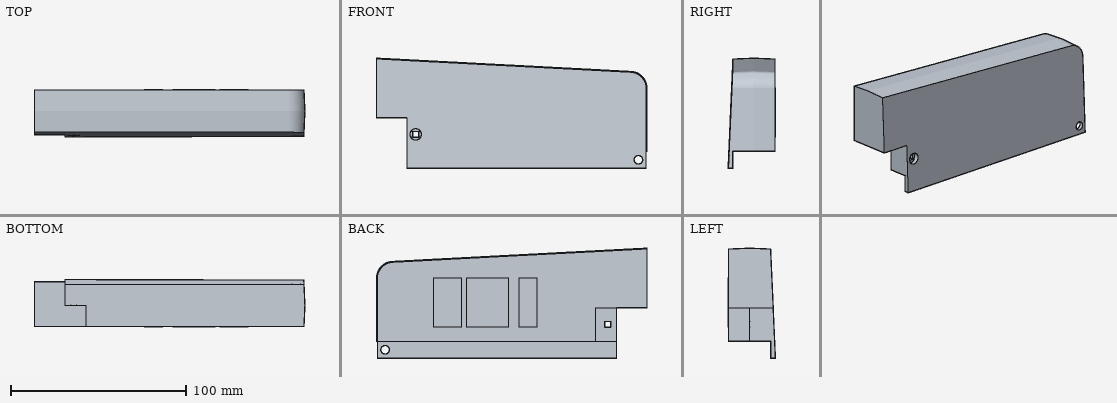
import cadquery as cq
import math

LENGTH = 154.4
HEIGHT = 63.0

BACK_Y = 12.0
FRONT_TOP_Y = -12.0
FRONT_BOTTOM_Y = -14.8
SEAM_DRAFT = 2.5
TOP_SLOPE = 3.0
CORNER_RADIUS = 9.5

NOTCH_LENGTH = 17.3
REAR_NOTCH_LENGTH = 29.3
NOTCH_TOP_Z = 28.9
LIP_HEIGHT = 9.7

SCREW_X = 22.4
SCREW_Z = 19.5
COUNTERBORE_DIAMETER = 6.5
COUNTERBORE_DEPTH = 2.6
SLOT_DEPTH = 0.5
SQUARE_SIDE = 3.2

LIP_HOLE_X = 149.5
LIP_HOLE_Z = 5.0
LIP_HOLE_DIAMETER = 4.8

PAD_HEIGHT = 0.3
PAD_BOTTOM_Z = 17.9
PAD_TOP_Z = 46.0
PAD_SPANS = [(62.8, 73.2), (79.0, 103.0), (105.9, 122.0)]

MARGIN = 15.5


def box_between(x_range, y_range, z_range):
    """Box spanning the given start and end along each axis."""
    sizes = [end - start for start, end in (x_range, y_range, z_range)]
    corner = (x_range[0], y_range[0], z_range[0])
    return cq.Workplane("XY").box(*sizes, centered=False).translate(corner)


def drafted_block():
    """Side outline with sloping top and round corner, narrowing both ways from the seam."""
    slope = math.radians(TOP_SLOPE)
    peak_z = HEIGHT - LENGTH * math.tan(slope)
    tangent_length = CORNER_RADIUS * math.tan((math.pi / 2 - slope) / 2)
    front_half = (
        cq.Workplane("XZ")
        .moveTo(-MARGIN, -MARGIN)
        .lineTo(-MARGIN, HEIGHT + MARGIN * math.tan(slope))
        .lineTo(
            LENGTH - tangent_length * math.cos(slope),
            peak_z + tangent_length * math.sin(slope),
        )
        .radiusArc((LENGTH, peak_z - tangent_length), CORNER_RADIUS)
        .lineTo(LENGTH, -MARGIN)
        .close()
        .extrude(MARGIN - FRONT_BOTTOM_Y, taper=SEAM_DRAFT)
    )
    return front_half.union(front_half.mirror("XZ"))


def wall_limits():
    """Bar along the sloping top, bounded by the upright back and the leaning front face."""
    slope = math.radians(TOP_SLOPE)
    corner_depth = HEIGHT * math.cos(slope) - NOTCH_LENGTH * math.sin(slope)
    lean = (FRONT_TOP_Y - FRONT_BOTTOM_Y) / corner_depth
    bar_depth = HEIGHT + MARGIN
    return (
        cq.Workplane("YZ", origin=(-MARGIN, 0, 0))
        .moveTo(BACK_Y, MARGIN)
        .lineTo(FRONT_TOP_Y + lean * MARGIN, MARGIN)
        .lineTo(FRONT_TOP_Y - lean * bar_depth, -bar_depth)
        .lineTo(BACK_Y, -bar_depth)
        .close()
        .extrude(LENGTH + 2 * MARGIN)
        .rotate((0, 0, 0), (0, 1, 0), TOP_SLOPE)
        .translate((0, 0, HEIGHT))
    )


def cover_body():
    """Drafted block trimmed to its walls, with the notches and the space behind the lip removed."""
    across = (FRONT_BOTTOM_Y - MARGIN, BACK_Y + MARGIN)
    envelope = box_between((0, LENGTH), across, (0, HEIGHT))
    body = drafted_block().intersect(wall_limits()).intersect(envelope)
    behind_seam = (0, BACK_Y + MARGIN)
    notch_heights = (-MARGIN, NOTCH_TOP_Z)
    notch = box_between((-MARGIN, NOTCH_LENGTH), across, notch_heights)
    rear_notch = box_between((-MARGIN, REAR_NOTCH_LENGTH), behind_seam, notch_heights)
    behind_lip = box_between(
        (-MARGIN, LENGTH + MARGIN), (FRONT_TOP_Y, BACK_Y + MARGIN), (-MARGIN, LIP_HEIGHT)
    )
    return body.cut(notch).cut(rear_notch).cut(behind_lip)


def front_plane(x, z, y):
    """Work plane facing -Y, centred on (x, y, z)."""
    return cq.Workplane("XZ", origin=(x, y, z))


def screw_hole():
    """Cutting solid for the recessed screw hole in the front wall."""
    face_y = FRONT_BOTTOM_Y + (FRONT_TOP_Y - FRONT_BOTTOM_Y) * SCREW_Z / HEIGHT
    floor_y = face_y + COUNTERBORE_DEPTH
    radius = COUNTERBORE_DIAMETER / 2
    counterbore = front_plane(SCREW_X, SCREW_Z, floor_y).circle(radius).extrude(MARGIN)
    slot_floor = front_plane(SCREW_X, SCREW_Z, floor_y + SLOT_DEPTH)
    slot = (
        slot_floor.circle(radius).extrude(SLOT_DEPTH)
        .intersect(slot_floor.rect(COUNTERBORE_DIAMETER, SQUARE_SIDE).extrude(SLOT_DEPTH))
    )
    square = (
        front_plane(SCREW_X, SCREW_Z, BACK_Y + MARGIN)
        .rect(SQUARE_SIDE, SQUARE_SIDE)
        .extrude(BACK_Y + MARGIN - floor_y)
    )
    return counterbore.union(slot).union(square)


def lip_hole():
    """Cutting solid for the round hole through the lip."""
    return (
        front_plane(LIP_HOLE_X, LIP_HOLE_Z, 0)
        .circle(LIP_HOLE_DIAMETER / 2)
        .extrude(MARGIN - FRONT_BOTTOM_Y)
    )


def add_pads(body):
    """Body with the raised pads joined to its back face."""
    for pad_span in PAD_SPANS:
        pad_depth = (BACK_Y - PAD_HEIGHT, BACK_Y + PAD_HEIGHT)
        body = body.union(box_between(pad_span, pad_depth, (PAD_BOTTOM_Z, PAD_TOP_Z)))
    return body


result = add_pads(cover_body().cut(screw_hole()).cut(lip_hole()))